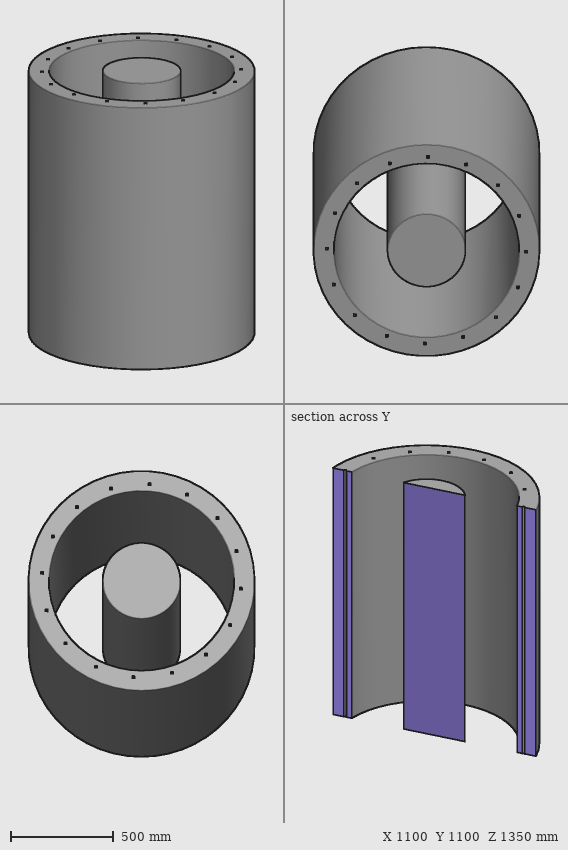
import cadquery as cq

height = 1350.0
ring_diameter = 1100.0
bore_diameter = 900.0
core_diameter = 380.0
edge_radius = 2.0

hole_count = 16
hole_diameter = 12.0
hole_circle_diameter = 969.0
hole_pitch_angle = 360 / hole_count


def make_ring():
    """Thick tube with rounded rims and a circle of through holes in its wall."""
    tube = (
        cq.Workplane("XY")
        .circle(ring_diameter / 2)
        .circle(bore_diameter / 2)
        .extrude(height)
        .faces("<Z or >Z")
        .edges()
        .fillet(edge_radius)
    )
    holes = (
        cq.Workplane("XY")
        .polarArray(hole_circle_diameter / 2, hole_pitch_angle / 2, 360, hole_count)
        .circle(hole_diameter / 2)
        .extrude(height)
    )
    return tube.cut(holes)


def make_core():
    """Solid cylinder on the ring's axis, rounded at both ends."""
    return (
        cq.Workplane("XY")
        .circle(core_diameter / 2)
        .extrude(height)
        .faces("<Z or >Z")
        .edges()
        .fillet(edge_radius)
    )


ring = make_ring()
core = make_core()

result = cq.Compound.makeCompound([ring.val(), core.val()])